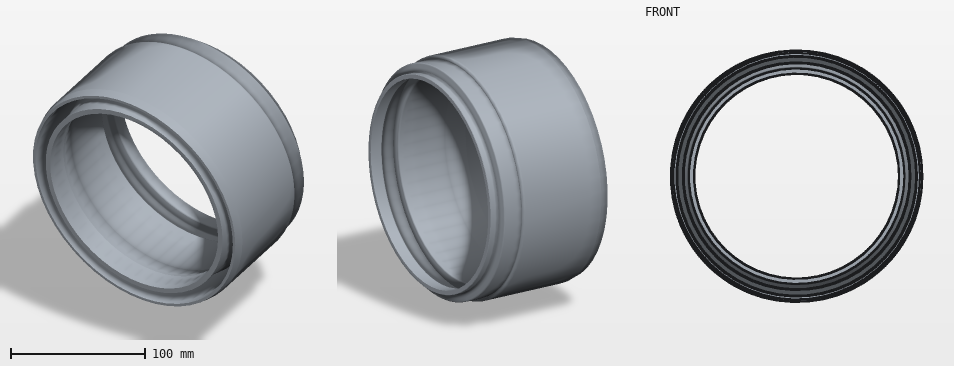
import cadquery as cq
import math

length = 98.5
outer_diameter = 187.0
front_y = -length / 2

sleeve_bore_diameter = 179.0
sleeve_end = 75.5
sleeve_end_rise = 0.4
sleeve_end_round = 2.0
front_chamfer_length = 6.7
taper_angle = 15.0

mouth_outer_diameter = 160.3
mouth_inner_diameter = 152.2
liner_outer_diameter = 168.1
liner_bore_diameter = 160.6
inner_cone_start = 17.4
outer_cone_start = 16.8

bulge_outer_diameter = 182.0
bulge_inner_diameter = 174.8
bulge_front = 70.7
bulge_rear = 90.9
bulge_wall_slope = 10.0
bulge_wall = (bulge_outer_diameter - bulge_inner_diameter) / 2
bulge_groove_front = bulge_front + bulge_wall
bulge_groove_rear = bulge_rear - bulge_wall
bend_radius = 1.1
floor_bevel = 0.5

neck_outer_diameter = liner_outer_diameter
neck_bore_diameter = 161.0
neck_edge_chamfer = 0.4

taper = math.tan(math.radians(taper_angle))


def cone_length(small_diameter, large_diameter):
    """Axial length of a cone at the taper angle."""
    return (large_diameter - small_diameter) / 2 / taper


def rear_wall_end(corner, large_diameter, small_diameter):
    """Distance from the front at which a sloping rear wall meets the neck."""
    height = (large_diameter - small_diameter) / 2
    return corner + height * math.tan(math.radians(bulge_wall_slope))


def revolve_outline(points):
    """Revolve (diameter, distance from front) points, closed on the axis."""
    profile = [(0, front_y + points[0][1])]
    profile += [(diameter / 2, front_y + distance) for diameter, distance in points]
    profile.append((0, front_y + points[-1][1]))
    return cq.Workplane("XY").polyline(profile).close().revolve(360, (0, 0, 0), (0, 1, 0))


def round_circle(solid, diameter, distance, radius):
    """Fillet the circular edge with the given diameter and distance from the front."""
    tolerance = 0.02

    def is_wanted(edge):
        same_size = abs(edge.radius() - diameter / 2) < tolerance
        same_place = abs(edge.Center().y - front_y - distance) < tolerance
        return same_size and same_place

    return solid.edges("%CIRCLE").filter(is_wanted).fillet(radius)


def make_outer_body():
    front_diameter = outer_diameter - 2 * front_chamfer_length * taper
    neck_start = rear_wall_end(bulge_rear, bulge_outer_diameter, neck_outer_diameter)
    body = revolve_outline([
        (front_diameter, 0),
        (outer_diameter, front_chamfer_length),
        (outer_diameter, sleeve_end),
        (bulge_outer_diameter, sleeve_end + sleeve_end_rise),
        (bulge_outer_diameter, bulge_rear),
        (neck_outer_diameter, neck_start),
        (neck_outer_diameter, length - neck_edge_chamfer),
        (neck_outer_diameter - 2 * neck_edge_chamfer, length),
    ])
    body = round_circle(body, outer_diameter, sleeve_end, sleeve_end_round)
    body = round_circle(body, bulge_outer_diameter, bulge_rear, bend_radius)
    return round_circle(body, neck_outer_diameter, neck_start, bend_radius)


def make_bore():
    cone_end = inner_cone_start + cone_length(mouth_inner_diameter, liner_bore_diameter)
    neck_start = rear_wall_end(bulge_groove_rear, bulge_inner_diameter, neck_bore_diameter)
    bore = revolve_outline([
        (mouth_inner_diameter, 0),
        (mouth_inner_diameter, inner_cone_start),
        (liner_bore_diameter, cone_end),
        (liner_bore_diameter, bulge_groove_front),
        (bulge_inner_diameter, bulge_groove_front),
        (bulge_inner_diameter, bulge_groove_rear),
        (neck_bore_diameter, neck_start),
        (neck_bore_diameter, length),
    ])
    bore = round_circle(bore, liner_bore_diameter, bulge_groove_front, bend_radius)
    bore = round_circle(bore, bulge_inner_diameter, bulge_groove_rear, bend_radius)
    return round_circle(bore, neck_bore_diameter, neck_start, bend_radius)


def make_front_gap():
    """Ring-shaped space between the sleeve and the liner, open at the front."""
    space = revolve_outline([
        (sleeve_bore_diameter, 0),
        (sleeve_bore_diameter, bulge_front - floor_bevel),
        (sleeve_bore_diameter - 2 * floor_bevel, bulge_front),
    ])
    cone_end = outer_cone_start + cone_length(mouth_outer_diameter, liner_outer_diameter)
    liner = revolve_outline([
        (mouth_outer_diameter, 0),
        (mouth_outer_diameter, outer_cone_start),
        (liner_outer_diameter, cone_end),
        (liner_outer_diameter, bulge_front - floor_bevel),
        (liner_outer_diameter + 2 * floor_bevel, bulge_front),
    ])
    return space.cut(liner)


result = make_outer_body().cut(make_bore()).cut(make_front_gap())